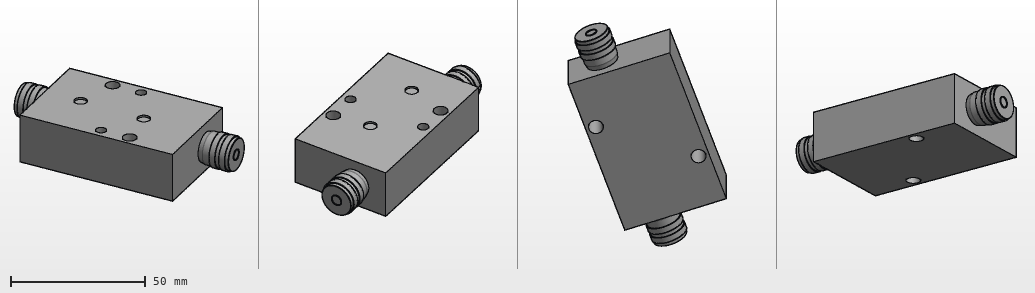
import cadquery as cq
import math

overall_length = 90.0
body_length = 64.1
body_width = 40.0
body_height = 20.0
top_z = body_height / 2

edge_hole_y = 16.0
through_diameter = 5.5
through_x = 12.0
blind_diameter = 4.1
blind_depth = 9.9
drill_tip_angle = 118
recess_diameter = 5.0
recess_depth = 0.8
recess_centers = [(-17.0, 0), (10.0, -0.9)]

connector_y = 6.5
connector_length = (overall_length - body_length) / 2
barrel_diameter = 13.0
ring_diameter = 13.9
ring_width = 2.4
ring_starts = [1.5, 5.6]
taper_start = 11.0
root_diameter = 12.1
end_chamfer = 0.2
socket_diameter = 4.4
socket_depth = 0.3
pin_diameter = 4.0


def make_connector():
    """Connector along +X with its free end at the +X overall limit."""
    end_x = overall_length / 2
    end_plane = cq.Workplane("YZ", origin=(end_x, connector_y, 0))

    barrel = end_plane.circle(barrel_diameter / 2).extrude(-taper_start)
    barrel = barrel.faces(">X").chamfer(end_chamfer)
    root = (
        end_plane.workplane(offset=-taper_start)
        .circle(barrel_diameter / 2)
        .workplane(offset=taper_start - connector_length)
        .circle(root_diameter / 2)
        .loft(ruled=True)
    )
    connector = barrel.union(root)
    for start in ring_starts:
        ring = end_plane.workplane(offset=-start).circle(ring_diameter / 2).extrude(-ring_width)
        connector = connector.union(ring)

    groove = (
        end_plane.circle(socket_diameter / 2)
        .circle(pin_diameter / 2)
        .extrude(-socket_depth)
    )
    return connector.cut(groove)


def drill_holes(block):
    """Cut the through holes, drilled blind holes and shallow recesses."""
    top = cq.Workplane("XY", origin=(0, 0, top_z))
    through_centers = [(-through_x, edge_hole_y), (through_x, -edge_hole_y)]
    block = block.cut(top.pushPoints(through_centers).circle(through_diameter / 2).extrude(-body_height))
    block = block.cut(top.pushPoints(recess_centers).circle(recess_diameter / 2).extrude(-recess_depth))

    tip_height = blind_diameter / 2 / math.tan(math.radians(drill_tip_angle / 2))
    blind_profile = [
        (0, 0),
        (blind_diameter / 2, 0),
        (blind_diameter / 2, -blind_depth),
        (0, -blind_depth - tip_height),
    ]
    for y in (-edge_hole_y, edge_hole_y):
        axial_plane = cq.Workplane("XZ", origin=(0, y, top_z))
        hole = axial_plane.polyline(blind_profile).close().revolve(360, (0, 0), (0, 1))
        block = block.cut(hole)
    return block


body = drill_holes(cq.Workplane("XY").box(body_length, body_width, body_height))
connector = make_connector()
result = body.union(connector).union(connector.mirror("YZ"))